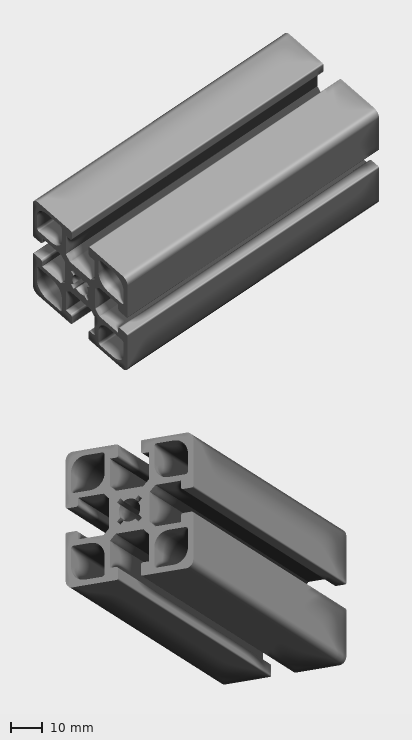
import cadquery as cq

length = 105.0
side = 45.0
half_side = side / 2
outer_radius = 2.5

mouth_width = 8.0
lip_thickness = 4.4
slot_width = 13.8
core_width = 14.3
slot_floor_chamfer = 2.0
lip_outer_radius = 0.5
lip_inner_radius = 0.8

wall = 1.9
cell_large_radius = 5.0
cell_small_radius = 0.9

bore_diameter = 7.6
groove_width = 1.7
groove_span = 10.7

quarter_turns = (0, 90, 180, 270)


def turned(solid, angle):
    """Rotate a solid about the long axis of the extrusion."""
    return solid.rotate((0, 0, 0), (0, 1, 0), angle)


def profile_plane():
    """Sketch plane on the front end, with X right and Z up."""
    return cq.Workplane("XZ", origin=(0, -length / 2, 0))


def make_body():
    block = cq.Workplane("XY").box(side, length, side)
    return block.edges("|Y").fillet(outer_radius)


def make_top_slot():
    """T-slot opening upward: undercut chamber with sloped floor corners, plus the mouth."""
    half_mouth = mouth_width / 2
    half_slot = slot_width / 2
    half_floor = half_slot - slot_floor_chamfer
    floor = core_width / 2
    slope_top = floor + slot_floor_chamfer
    lip_underside = half_side - lip_thickness
    slot = (
        profile_plane()
        .moveTo(-half_floor, floor)
        .lineTo(half_floor, floor)
        .lineTo(half_slot, slope_top)
        .lineTo(half_slot, lip_underside)
        .lineTo(half_mouth + lip_inner_radius, lip_underside)
        .radiusArc((half_mouth, lip_underside + lip_inner_radius), lip_inner_radius)
        .lineTo(half_mouth, half_side - lip_outer_radius)
        .radiusArc((half_mouth + lip_outer_radius, half_side), lip_outer_radius)
        .lineTo(-half_mouth - lip_outer_radius, half_side)
        .radiusArc((-half_mouth, half_side - lip_outer_radius), lip_outer_radius)
        .lineTo(-half_mouth, lip_underside + lip_inner_radius)
        .radiusArc((-half_mouth - lip_inner_radius, lip_underside), lip_inner_radius)
        .lineTo(-half_slot, lip_underside)
        .lineTo(-half_slot, slope_top)
        .close()
    )
    return slot.extrude(-length)


def make_corner_cell():
    """Square cell in the +X +Z corner, rounded most at its corners nearest to and farthest from the core."""
    cell_start = slot_width / 2 + wall
    cell_end = half_side - wall
    large_start = cell_start + cell_large_radius
    large_end = cell_end - cell_large_radius
    small_start = cell_start + cell_small_radius
    small_end = cell_end - cell_small_radius
    cell = (
        profile_plane()
        .moveTo(large_start, cell_start)
        .lineTo(small_end, cell_start)
        .radiusArc((cell_end, small_start), -cell_small_radius)
        .lineTo(cell_end, large_end)
        .radiusArc((large_end, cell_end), -cell_large_radius)
        .lineTo(small_start, cell_end)
        .radiusArc((cell_start, small_end), -cell_small_radius)
        .lineTo(cell_start, large_start)
        .radiusArc((large_start, cell_start), -cell_large_radius)
        .close()
    )
    return cell.extrude(-length)


def make_bore():
    """Round bore crossed by two diagonal slots that form its four grooves."""
    bore = profile_plane().circle(bore_diameter / 2).extrude(-length)
    slot = profile_plane().rect(groove_span, groove_width).extrude(-length)
    return bore.union(turned(slot, 45)).union(turned(slot, -45))


profile = make_body()
top_slot = make_top_slot()
corner_cell = make_corner_cell()
for angle in quarter_turns:
    profile = profile.cut(turned(top_slot, angle)).cut(turned(corner_cell, angle))
result = profile.cut(make_bore()).solids()